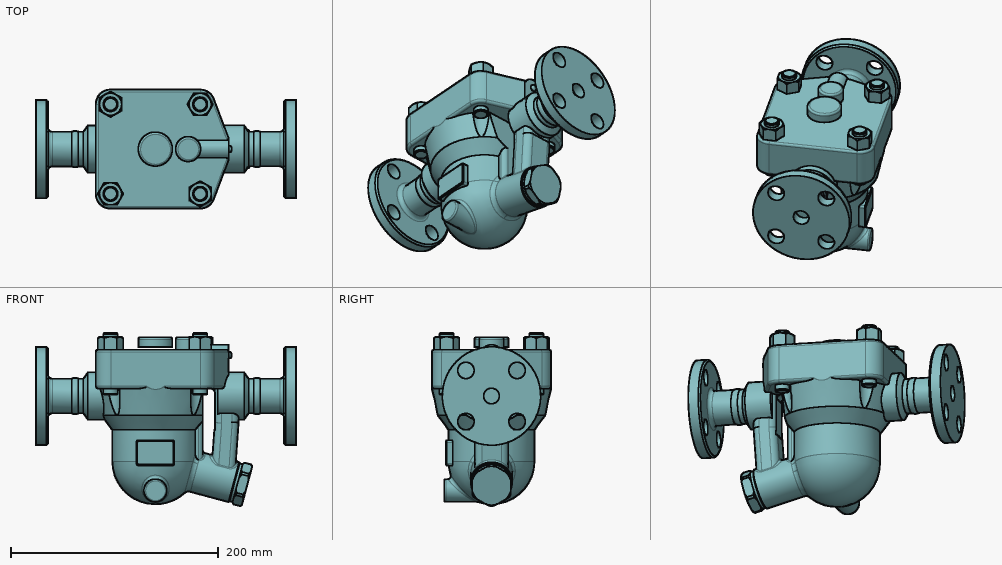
import cadquery as cq
import math


INLET_FACE_X = -115.2
OUTLET_FACE_X = 135.8
FLANGE_DIA = 95.0
FLANGE_THICKNESS = 11.8
FLANGE_CHAMFER = 1.8
BOLT_CIRCLE_DIA = 69.8
BOLT_HOLE_DIA = 15.8
BOLT_HOLE_COUNT = 4
BORE_DIA = 15.0
PIPE_DIA = 33.6
PIPE_FILLET = 4.0
BEAD_LENGTH = 6.5
BEAD_HEIGHT = 0.8
HUB_DIA = 46.0
HUB_CONE_LENGTH = 4.3
INLET_HUB_END = 65.0
INLET_BEAD_START = 74.0
OUTLET_HUB_START = 60.2
OUTLET_HUB_END = 85.5
OUTLET_BEAD_START = 94.6

COLLAR_TOP_Z = 10.0
COLLAR_TOP_RADIUS = 58.2
COLLAR_BOTTOM_Z = -18.5
COLLAR_BOTTOM_RADIUS = 52.0
CUP_RADIUS = 41.7
CUP_TOP_Z = -32.6
DOME_CENTRE_Z = -62.8

PLATE_BOTTOM_Z = 7.0
PLATE_TOP_Z = 44.7
PLATE_HALF_WIDTH = 57.5
PLATE_CORNER_RADIUS = 14.3
PLATE_SHOULDER_X = 53.0
PLATE_NOSE_X = 70.5
PLATE_NOSE_HALF_WIDTH = 10.8
PLATE_TOP_FILLET = 2.3
PLATE_BOTTOM_FILLET = 2.8

STUD_OFFSET = PLATE_HALF_WIDTH - PLATE_CORNER_RADIUS
STUD_SPOTS = [
    (-STUD_OFFSET, -STUD_OFFSET, 0),
    (STUD_OFFSET, -STUD_OFFSET, 90),
    (STUD_OFFSET, STUD_OFFSET, 0),
    (-STUD_OFFSET, STUD_OFFSET, 90),
]
STUD_DIA = 14.0
STUD_TOP_Z = 60.7
STUD_BOTTOM_Z = 1.3
STUD_CHAMFER = 1.0
STUD_RECESS_RADIUS = 9.0
NUT_FLATS = 21.3
NUT_TOP_Z = 57.0
NUT_CHAMFER_HEIGHT = 1.3

CAP_DIA = 33.0
CAP_BOTTOM_Z = 47.2
CAP_TOP_Z = 56.7
SMALL_CAP_DIA = 24.0
SMALL_CAP_X = 31.6
CAP_FILLET = 2.0
CHANNEL_Z = 39.5
CHANNEL_RADIUS = 10.0
CHANNEL_PLUG_RADIUS = 3.3
CHANNEL_PLUG_LENGTH = 3.0
CHANNEL_PLUG_FILLET = 2.3

BRANCH_TILT = 15.0
BRANCH_DIA = 40.0
BRANCH_END = 79.0
BRANCH_CHAMFER = 0.8
BRANCH_FILLET = 6.0
PLUG_NECK_DIA = 38.0
PLUG_START = 82.0
PLUG_END = 91.5
PLUG_FLATS = 37.5
PLUG_DIA = 41.7
PLUG_CHAMFER = 1.5

RISER_LENGTH_X = 23.0
RISER_WIDTH = 32.0
RISER_CORNER_RADIUS = 6.5
RISER_TILT = 4.0
RISER_KNEE_X = 68.8
RISER_KNEE_Z = -25.9
RISER_FLARE_RADIUS = 3.8
RISER_OVERLAP = 1.0
RIB_FACE_X = 46.0
RIB_CORNER_RADIUS = 4.8
GAP_WIDTH = 11.5
FOOT_FILLET = 2.0

NAME_PLATE_LENGTH = 36.5
NAME_PLATE_HEIGHT = 24.5
NAME_PLATE_CENTRE_Z = -54.7
NAME_PLATE_FACE_Y = -44.2
NAME_PLATE_DEPTH = 15.0
NAME_PLATE_CORNER_RADIUS = 2.0
NAME_PLATE_CHAMFER = 1.0
DRAIN_DIA = 22.0
DRAIN_Z = -91.0
DRAIN_FACE_Y = -45.7
DRAIN_FILLET = 1.5
DRAIN_ROOT_FILLET = 3.0

BRANCH_ROOT_BOX = ((30, -22.5, -100.5), (42.7, 22.5, -45.2))
DRAIN_ROOT_BOX = ((-12.5, -40.2, -108), (12.5, -12.5, -77.8))
UPRIGHT_FEET_BOX = ((42.7, -17.5, -70.3), (79.0, 17.5, -52.7))


def rod(diameter, start_z, end_z, x=0, y=0):
    """Upright cylinder between two heights."""
    return (
        cq.Workplane("XY", origin=(x, y, start_z))
        .circle(diameter / 2)
        .extrude(end_z - start_z)
    )


def fillet_joint(shape, radius, box):
    """Round the edges whose centres lie in the box between two corners."""
    return shape.edges(cq.selectors.BoxSelector(*box)).fillet(radius)


def pipe_end(face, bead_start, hub_end, hub_start):
    """Flange, pipe, weld bead and hub along +X; all distances are from X = 0."""
    pipe_r = PIPE_DIA / 2
    hub_r = HUB_DIA / 2
    flange_r = FLANGE_DIA / 2
    flange_back = face - FLANGE_THICKNESS
    bead_end = bead_start + BEAD_LENGTH
    fillet_mid = PIPE_FILLET * (1 - math.sqrt(0.5))
    body = (
        cq.Workplane("XY")
        .moveTo(hub_start, 0)
        .lineTo(hub_start, hub_r)
        .lineTo(hub_end, hub_r)
        .lineTo(hub_end + HUB_CONE_LENGTH, pipe_r)
        .lineTo(bead_start, pipe_r)
        .threePointArc(((bead_start + bead_end) / 2, pipe_r + BEAD_HEIGHT), (bead_end, pipe_r))
        .lineTo(flange_back - PIPE_FILLET, pipe_r)
        .threePointArc((flange_back - fillet_mid, pipe_r + fillet_mid), (flange_back, pipe_r + PIPE_FILLET))
        .lineTo(flange_back, flange_r - FLANGE_CHAMFER)
        .lineTo(flange_back + FLANGE_CHAMFER, flange_r)
        .lineTo(face, flange_r)
        .lineTo(face, 0)
        .close()
        .revolve(360, (0, 0, 0), (1, 0, 0))
    )
    bolt_holes = (
        cq.Workplane("YZ", origin=(face, 0, 0))
        .polarArray(BOLT_CIRCLE_DIA / 2, 180 / BOLT_HOLE_COUNT, 360, BOLT_HOLE_COUNT)
        .circle(BOLT_HOLE_DIA / 2)
        .extrude(-FLANGE_THICKNESS)
    )
    bore = cq.Workplane("YZ", origin=(face, 0, 0)).circle(BORE_DIA / 2).extrude(-FLANGE_THICKNESS)
    return body.cut(bolt_holes).cut(bore)


def cup():
    """Conical collar, straight cup and half-sphere bottom."""
    mid = CUP_RADIUS * math.sqrt(0.5)
    turned = (
        cq.Workplane("XZ")
        .moveTo(0, COLLAR_TOP_Z)
        .lineTo(COLLAR_TOP_RADIUS, COLLAR_TOP_Z)
        .lineTo(COLLAR_BOTTOM_RADIUS, COLLAR_BOTTOM_Z)
        .lineTo(CUP_RADIUS, CUP_TOP_Z)
        .lineTo(CUP_RADIUS, DOME_CENTRE_Z)
        .threePointArc((mid, DOME_CENTRE_Z - mid), (0, DOME_CENTRE_Z - CUP_RADIUS))
        .close()
        .revolve(360, (0, 0, 0), (0, 1, 0))
    )
    width = 2 * PLATE_HALF_WIDTH
    depth = COLLAR_TOP_Z - DOME_CENTRE_Z + CUP_RADIUS
    envelope = cq.Workplane("XY", origin=(0, 0, COLLAR_TOP_Z)).rect(width, width).extrude(-depth)
    return turned.intersect(envelope)


def collar_gap():
    """Slot across the collar between the rib face and the outlet hub."""
    height = PLATE_BOTTOM_Z - CUP_TOP_Z
    return (
        cq.Workplane("XY")
        .box(GAP_WIDTH, 2 * PLATE_HALF_WIDTH, height, centered=(False, True, False))
        .translate((RIB_FACE_X, 0, CUP_TOP_Z))
    )


def rib():
    """Upright rib on the cup that stands on the branch."""
    bottom_z = DOME_CENTRE_Z - RIB_FACE_X * math.tan(math.radians(BRANCH_TILT))
    return (
        cq.Workplane("XY")
        .box(RIB_FACE_X, RISER_WIDTH, COLLAR_BOTTOM_Z - bottom_z, centered=(False, True, False))
        .edges("|Z and >X")
        .fillet(RIB_CORNER_RADIUS)
        .translate((0, 0, bottom_z))
    )


def branch_frame(distance):
    """Plane square to the branch axis at a distance from the dome centre."""
    tilt = math.radians(BRANCH_TILT)
    axis = cq.Vector(math.cos(tilt), 0, -math.sin(tilt))
    origin = cq.Vector(0, 0, DOME_CENTRE_Z) + axis * distance
    return cq.Workplane(cq.Plane(origin=origin, xDir=(0, 1, 0), normal=axis))


def branch():
    """Strainer cylinder from the dome centre to its chamfered end."""
    return (
        branch_frame(0)
        .circle(BRANCH_DIA / 2)
        .extrude(BRANCH_END)
        .faces(">X")
        .chamfer(BRANCH_CHAMFER)
    )


def screw_plug():
    """Neck and hexagonal head with turned-down corners; a flat faces -Y."""
    neck = branch_frame(BRANCH_END).circle(PLUG_NECK_DIA / 2).extrude(PLUG_START - BRANCH_END)
    length = PLUG_END - PLUG_START
    corner_dia = PLUG_FLATS / math.cos(math.radians(30))
    hexagon = (
        branch_frame(PLUG_START)
        .transformed(rotate=(0, 0, 30))
        .polygon(6, corner_dia)
        .extrude(length)
    )
    turned = branch_frame(PLUG_START).circle(PLUG_DIA / 2).extrude(length).edges().chamfer(PLUG_CHAMFER)
    return neck.union(hexagon.intersect(turned))


def riser_bar(frame, length):
    """Rounded rectangular bar square to a frame; a negative length runs downward."""
    section = (
        cq.Sketch()
        .rect(RISER_LENGTH_X, RISER_WIDTH)
        .vertices()
        .fillet(RISER_CORNER_RADIUS)
    )
    return frame.placeSketch(section).extrude(length)


def riser():
    """Channel that runs upright into the hub and leans back below to the branch axis."""
    knee = cq.Workplane("XY", origin=(RISER_KNEE_X, 0, RISER_KNEE_Z))
    branch_z = DOME_CENTRE_Z - RISER_KNEE_X * math.tan(math.radians(BRANCH_TILT))
    upright = riser_bar(knee, PLATE_BOTTOM_Z - RISER_KNEE_Z)
    leaning_start = knee.transformed(rotate=(0, RISER_TILT, 0)).workplane(offset=RISER_OVERLAP)
    leaning = riser_bar(leaning_start, branch_z - RISER_KNEE_Z - RISER_OVERLAP)
    return upright.union(leaning)


def plate():
    """Lid plate with a blunt nose toward the outlet."""
    half = PLATE_HALF_WIDTH
    outline = [
        (-half, -half),
        (PLATE_SHOULDER_X, -half),
        (PLATE_NOSE_X, -PLATE_NOSE_HALF_WIDTH),
        (PLATE_NOSE_X, PLATE_NOSE_HALF_WIDTH),
        (PLATE_SHOULDER_X, half),
        (-half, half),
    ]
    block = (
        cq.Workplane("XY", origin=(0, 0, PLATE_BOTTOM_Z))
        .polyline(outline)
        .close()
        .extrude(PLATE_TOP_Z - PLATE_BOTTOM_Z)
    )
    block = block.edges("|Z").edges("<Y or >Y").fillet(PLATE_CORNER_RADIUS)
    block = block.faces(">Z").edges().fillet(PLATE_TOP_FILLET)
    return block.faces("<Z").edges().fillet(PLATE_BOTTOM_FILLET)


def channel_ridge():
    """Part-round ridge from the small cap to the nose, and the domed pin that closes it."""
    ridge = (
        cq.Workplane("YZ", origin=(SMALL_CAP_X, 0, CHANNEL_Z))
        .circle(CHANNEL_RADIUS)
        .extrude(PLATE_NOSE_X - SMALL_CAP_X)
    )
    pin = (
        cq.Workplane("YZ", origin=(SMALL_CAP_X, 0, CHANNEL_Z))
        .circle(CHANNEL_PLUG_RADIUS)
        .extrude(PLATE_NOSE_X + CHANNEL_PLUG_LENGTH - SMALL_CAP_X)
        .faces(">X")
        .edges()
        .fillet(CHANNEL_PLUG_FILLET)
    )
    return ridge.union(pin)


def small_cap():
    """Round cap at the inner end of the channel ridge."""
    return rod(SMALL_CAP_DIA, CHANNEL_Z, CAP_TOP_Z, SMALL_CAP_X).faces(">Z").edges().fillet(CAP_FILLET)


def stud_and_nut(x, y, turn):
    """Stud through the lid with a hexagonal nut; the nut corners are chamfered at the top."""
    stud = rod(STUD_DIA, STUD_BOTTOM_Z, STUD_TOP_Z, x, y).edges().chamfer(STUD_CHAMFER)
    corner_dia = NUT_FLATS / math.cos(math.radians(30))
    height = NUT_TOP_Z - PLATE_TOP_Z
    hexagon = (
        cq.Workplane("XY", origin=(x, y, PLATE_TOP_Z))
        .transformed(rotate=(0, 0, turn))
        .polygon(6, corner_dia)
        .extrude(height)
    )
    turned = (
        rod(corner_dia, PLATE_TOP_Z, NUT_TOP_Z, x, y)
        .faces(">Z")
        .chamfer(NUT_CHAMFER_HEIGHT, (corner_dia - NUT_FLATS) / 2)
    )
    return stud.union(hexagon.intersect(turned))


def name_plate():
    """Raised rectangular pad facing -Y."""
    return (
        cq.Workplane("XY")
        .box(NAME_PLATE_LENGTH, NAME_PLATE_DEPTH, NAME_PLATE_HEIGHT, centered=(True, False, True))
        .edges("|Y")
        .fillet(NAME_PLATE_CORNER_RADIUS)
        .faces("<Y")
        .chamfer(NAME_PLATE_CHAMFER)
        .translate((0, NAME_PLATE_FACE_Y, NAME_PLATE_CENTRE_Z))
    )


def drain_boss():
    """Round boss facing -Y, low on the dome."""
    return (
        cq.Workplane("XZ", origin=(0, 0, DRAIN_Z))
        .circle(DRAIN_DIA / 2)
        .extrude(-DRAIN_FACE_Y)
        .faces("<Y")
        .edges()
        .fillet(DRAIN_FILLET)
    )


def riser_flare():
    """Concave fillet between the riser and the underside of the lid, on the cup side."""
    wall_x = RISER_KNEE_X - RISER_LENGTH_X / 2
    tip_x = wall_x - RISER_FLARE_RADIUS
    foot_z = PLATE_BOTTOM_Z - RISER_FLARE_RADIUS
    mid = RISER_FLARE_RADIUS * math.sqrt(0.5)
    width = RISER_WIDTH - 2 * RISER_CORNER_RADIUS
    return (
        cq.Workplane("XZ")
        .moveTo(RISER_KNEE_X, PLATE_BOTTOM_Z)
        .lineTo(tip_x, PLATE_BOTTOM_Z)
        .threePointArc((tip_x + mid, foot_z + mid), (wall_x, foot_z))
        .lineTo(RISER_KNEE_X, foot_z)
        .close()
        .extrude(width / 2, both=True)
    )


def branch_with_uprights():
    """Branch with the rib and the riser standing on it, rounded at their feet."""
    joined = branch().union(rib()).union(riser())
    return fillet_joint(joined, FOOT_FILLET, UPRIGHT_FEET_BOX)


def trap_body():
    """Cup with its branch, drain boss, rib and name plate, rounded where they join."""
    body = cup().union(branch())
    body = fillet_joint(body, BRANCH_FILLET, BRANCH_ROOT_BOX)
    body = body.union(drain_boss())
    body = fillet_joint(body, DRAIN_ROOT_FILLET, DRAIN_ROOT_BOX)
    body = body.union(branch_with_uprights()).cut(collar_gap())
    for x, y, _ in STUD_SPOTS:
        body = body.cut(rod(2 * STUD_RECESS_RADIUS, COLLAR_BOTTOM_Z, COLLAR_TOP_Z, x, y))
    return body.union(name_plate()).union(screw_plug())


def trap_housing():
    """Body, lid, studs, nuts and pipe ends as one solid."""
    inlet = pipe_end(-INLET_FACE_X, INLET_BEAD_START, INLET_HUB_END, 0).rotate((0, 0, 0), (0, 0, 1), 180)
    outlet = pipe_end(OUTLET_FACE_X, OUTLET_BEAD_START, OUTLET_HUB_END, OUTLET_HUB_START)
    lid = plate().union(channel_ridge()).union(small_cap())
    for x, y, turn in STUD_SPOTS:
        lid = lid.union(stud_and_nut(x, y, turn))
    return trap_body().union(lid).union(riser_flare()).union(inlet).union(outlet)


def lid_cap():
    """Round cap above the centre of the lid."""
    return rod(CAP_DIA, CAP_BOTTOM_Z, CAP_TOP_Z).faces(">Z").edges().fillet(CAP_FILLET)


housing = trap_housing()
cap = lid_cap()
result = cq.Compound.makeCompound([housing.val(), cap.val()])